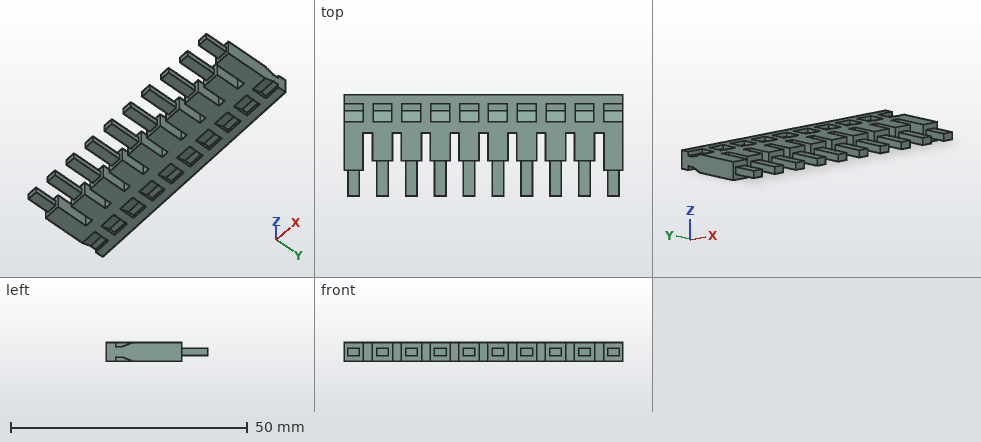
import cadquery as cq


length = 58.9
depth = 21.5
thickness = 4.0
tooth_count = 10

spine_depth = 8.2
end_tooth_width = 4.0
end_tooth_reach = 16.0
inner_tooth_width = 4.3
inner_tooth_reach = 14.0

pin_width = 2.5
pin_height = 1.6

pocket_width = end_tooth_width
pocket_back = 2.0
pocket_floor_end = 3.4
pocket_ramp_end = 5.7
pocket_depth = 0.9

pitch = (length - end_tooth_width) / (tooth_count - 1)
first_center = (end_tooth_width - length) / 2
tooth_centers = [first_center + i * pitch for i in range(tooth_count)]


def bar(center_x, width, reach, height):
    """Block from the back edge out to the given reach, centred on mid-thickness."""
    block = cq.Workplane("XY").box(width, reach, height, centered=(True, False, True))
    return block.translate((center_x, -reach, 0))


def tooth(index):
    """Insulated tooth with its contact pin; the two outer teeth are narrower and longer."""
    center_x = tooth_centers[index]
    is_end = index in (0, tooth_count - 1)
    width = end_tooth_width if is_end else inner_tooth_width
    reach = end_tooth_reach if is_end else inner_tooth_reach
    pin = bar(center_x, pin_width, depth, pin_height)
    return bar(center_x, width, reach, thickness).union(pin)


def top_pocket(center_x):
    """Cutter for one grip pocket in the top face."""
    surface = thickness / 2
    floor = surface - pocket_depth
    profile = [
        (-pocket_back, surface),
        (-pocket_back, floor),
        (-pocket_floor_end, floor),
        (-pocket_ramp_end, surface),
    ]
    cutter = cq.Workplane("YZ").polyline(profile).close().extrude(pocket_width / 2, both=True)
    return cutter.translate((center_x, 0, 0))


result = bar(0, length, spine_depth, thickness)
for index in range(tooth_count):
    result = result.union(tooth(index))

for center_x in tooth_centers:
    pocket = top_pocket(center_x)
    result = result.cut(pocket).cut(pocket.mirror("XY"))